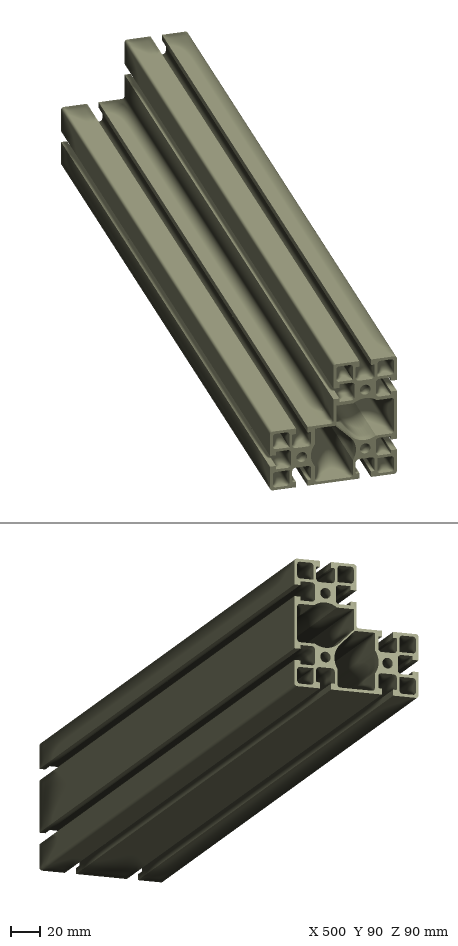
import cadquery as cq
import math

length = 500.0
side = 90.0
module = side / 2
half_module = module / 2

skin = 2.0
web = 1.0
thin_wall = 2.0
thick_wall = 2.5

outer_radius = 2.0
cavity_radius = 2.0
floor_radius = 2.5
root_radius = 0.5

mouth_half_width = 4.1
channel_width = 13.5
channel_half_width = channel_width / 2
lip_depth = 4.25
core_width = 15.0
core_half = core_width / 2
bore_diameter = 7.5

relief_face = 6.5
relief_radius = (relief_face - web / math.sqrt(2)) / (math.sqrt(2) - 1)

box_offset = channel_half_width + thin_wall
cavity_offset = channel_half_width + thick_wall

near = half_module
far = side - half_module
upper_module = (near, far)
corner_module = (near, near)
side_module = (far, near)

UP, LEFT, DOWN, RIGHT = 0, 90, 180, 270

section_plane = cq.Plane(
    origin=(length / 2, side / 2, -side / 2), xDir=(0, -1, 0), normal=(-1, 0, 0)
)


def prism(points):
    """Full-length prism over a closed polygon in section coordinates."""
    return cq.Workplane(section_plane).polyline(points).close().extrude(length)


def cylinders(centres, radius):
    """Full-length cylinders around points in section coordinates."""
    return cq.Workplane(section_plane).pushPoints(centres).circle(radius).extrude(length)


def placed(point, centre, heading):
    """Turn a point drawn facing up to the heading and move it to a module centre."""
    x, y = point
    c = math.cos(math.radians(heading))
    s = math.sin(math.radians(heading))
    return (centre[0] + x * c - y * s, centre[1] + x * s + y * c)


def placed_block(low, high, centre, heading):
    """Full-length rectangular block between two corners, placed like a point."""
    corners = [low, (high[0], low[1]), high, (low[0], high[1])]
    return prism([placed(corner, centre, heading) for corner in corners])


def l_body():
    outline = [(0, 0), (side, 0), (side, module), (module, module), (module, side), (0, side)]
    return prism(outline).edges("|X").fillet(outer_radius)


def t_slot(centre, heading):
    """Lipped slot running from the module face down to the core."""
    half = channel_half_width
    under_lip = half_module - lip_depth
    middle = (core_half + under_lip) / 2
    channel = placed_block((-half, core_half), (half, under_lip), centre, heading)
    upper_part = placed_block((-half, middle), (half, under_lip), centre, heading)
    mouth = placed_block(
        (-mouth_half_width, middle), (mouth_half_width, half_module), centre, heading
    )
    channel = channel.edges("|X").fillet(floor_radius)
    upper_part = upper_part.edges("|X").fillet(root_radius)
    return channel.union(upper_part).union(mouth)


def corner_box(centre, heading):
    """Hollow box in the module corner that lies up and right before turning.

    Its corner at the core is sharp and the other three are rounded.
    """
    inner = half_module - skin
    middle = (box_offset + inner) / 2
    box = placed_block((box_offset, box_offset), (inner, inner), centre, heading)
    core_corner = placed_block((box_offset, box_offset), (middle, middle), centre, heading)
    return box.edges("|X").fillet(cavity_radius).union(core_corner)


def upper_cavity_outline():
    """Large cavity above the diagonal web, without the core reliefs."""
    floor = near + box_offset
    roof = far - cavity_offset
    inner_wall = module - skin
    web_rise = web / math.sqrt(2)
    tangent_reach = relief_radius / math.sqrt(2)
    tangent_point = (near + tangent_reach, near + tangent_reach + web_rise)
    return [
        (skin, floor),
        (near, floor),
        tangent_point,
        (inner_wall, inner_wall + web_rise),
        (inner_wall, roof),
        (skin, roof),
    ]


result = l_body()

upper_outline = upper_cavity_outline()
lower_outline = [(y, x) for x, y in upper_outline]
result = result.cut(prism(upper_outline).edges("|X and >Y").fillet(cavity_radius))
result = result.cut(prism(lower_outline).edges("|X and <Z").fillet(cavity_radius))

relief_axis = (0, relief_face + relief_radius)
relief_headings = [
    (upper_module, DOWN),
    (corner_module, UP),
    (corner_module, RIGHT),
    (side_module, LEFT),
]
for centre, heading in relief_headings:
    result = result.cut(cylinders([placed(relief_axis, centre, heading)], relief_radius))

slot_headings = [
    (upper_module, (LEFT, UP, RIGHT)),
    (corner_module, (LEFT, DOWN)),
    (side_module, (UP, RIGHT, DOWN)),
]
for centre, headings in slot_headings:
    for heading in headings:
        result = result.cut(t_slot(centre, heading))

box_headings = [
    (upper_module, (UP, LEFT)),
    (corner_module, (DOWN,)),
    (side_module, (UP, RIGHT)),
]
for centre, headings in box_headings:
    for heading in headings:
        result = result.cut(corner_box(centre, heading))

bores = cylinders([upper_module, corner_module, side_module], bore_diameter / 2)
result = result.cut(bores).solids()